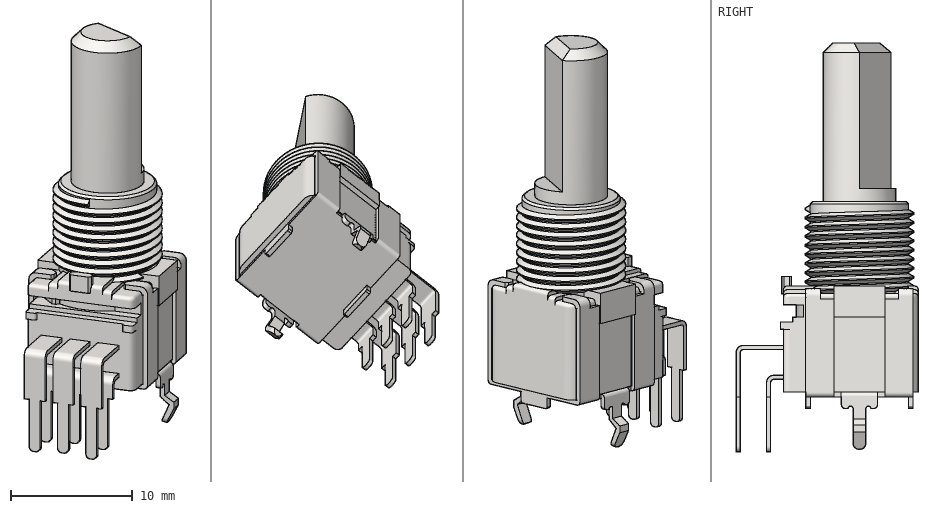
import cadquery as cq
import math


SHAFT_RADIUS = 3.0
SHAFT_TOP = 29.14
SHAFT_CHAMFER = 0.8
FLAT_OFFSET = 1.5
FLAT_BOTTOM = 17.17
FLAT_ANGLE = 60

THREAD_RADIUS = 4.5
THREAD_PITCH = 0.75
CORE_RADIUS = 4.05
BUSHING_TOP = 16.1
BUSHING_CHAMFER = 0.2
THREAD_TURNS = 9
THREAD_END = 15.84
THREAD_ROOT_WIDTH = 0.72
THREAD_CREST_WIDTH = 0.1
THREAD_EMBED = 0.06

SHEET = 0.4
BODY_HALF_WIDTH = 4.75
BODY_FRONT = -6.25
BODY_BACK = 4.85
BACK_CORNER_X = 0.9
BACK_CORNER_Y = 0.45
BACK_CORNER_RADIUS = (BACK_CORNER_X**2 + BACK_CORNER_Y**2) / (2 * BACK_CORNER_Y)
CORNER_RADIUS = 0.5
BODY_LEDGE = 6.18
BODY_TOP = 6.57
LEDGE_FRONT = -5.5
LIP_DEPTH = 0.25
LIP_HEIGHT = 0.6
LIP_WIDTH = 0.96
LIP_FILLET = 0.22
LID_BOTTOM = 7.58
LID_EDGE_FILLET = 0.33
LID_CORNER_TOP = 8.53
LID_LEVEL_STEP = 0.31
LID_LEVEL_HALF_WIDTHS = (2.79, 1.98)
LID_TOP = LID_CORNER_TOP + LID_LEVEL_STEP * len(LID_LEVEL_HALF_WIDTHS)
ROTOR_RADIUS = 5.2
CORE_FRONT = -4.6
CORE_RIB_FRONT = -4.85
CORE_RIB_OUTER_X = 3.0
CORE_RIB_INNER_X = 2.7

LUG_HALF_WIDTH = 0.97
LUG_BACK = -5.57
LUG_FRONT = -6.4
LUG_BOTTOM = 8.5
LUG_TOP = 9.93
LUG_CHAMFER = 0.2

FRAME_HALF_WIDTH = 5.24
FRAME_HALF_DEPTH = 4.42
FRAME_TOP = LID_CORNER_TOP + SHEET
BOTTOM_BEND = 0.35
TOP_BEND = 0.62
WALL_NOTCH_TOP = 8.08
WALL_INNER_Y = 2.08
FLAP_INNER_X = 3.08
FLAP_INNER_Y = 3.19
FLAP_CORNER = 0.2
BUSHING_CLEARANCE_RADIUS = 4.8
PANEL_RECESS = 0.32
PANEL_HALF_WIDTH = FRAME_HALF_WIDTH - PANEL_RECESS
TAB_HALF_WIDTH = 5.35
TONGUE_HALF_WIDTH = 1.5
TONGUE_BOTTOM = -0.95
TONGUE_CHAMFER = 0.15

LEG_HALF_WIDTH = 0.53
LEG_BOTTOM = -4.3
LEG_REACH = 6.05
LEG_OUTER_BEND_START = -1.8
LEG_INNER_BEND_START = -1.95
LEG_KNEE_TOP = -2.3
LEG_KNEE_BOTTOM = -2.87
LEG_INNER_KNEE = (-5.62, -2.58)
LEG_OUTER_TIP_X = -5.33
LEG_INNER_TIP = (-4.95, -4.1)
LEG_TIP_FILLET = 0.5
LEG_RELIEF_RADIUS = 0.2

TERMINAL_PITCH = 2.5
TERMINAL_THICKNESS = 0.35
TERMINAL_BEND = 0.6
TERMINAL_STEM_WIDTH = 0.96
TERMINAL_SHOULDER = 0.0
OUTER_TERMINAL_WIDTH = 1.85
MIDDLE_TERMINAL_WIDTH = 1.75
OUTER_TERMINAL_TIP = -4.5
MIDDLE_TERMINAL_TIP = -4.3
TIP_RADIUS = 0.4
OVERALL_DEPTH = 15.0
FRONT_ROW_Y = BODY_BACK - OVERALL_DEPTH
FRONT_ROW_TOP = 4.26
BACK_ROW_TOP = 1.8
TERMINAL_ROWS = ((FRONT_ROW_Y, FRONT_ROW_TOP), (FRONT_ROW_Y + TERMINAL_PITCH, BACK_ROW_TOP))


def block(x0, x1, y0, y1, z0, z1):
    """Box between the given limits."""
    return cq.Workplane("XY").box(x1 - x0, y1 - y0, z1 - z0, centered=False).translate((x0, y0, z0))


def both_sides(solid):
    """The solid joined with its mirror image across the YZ plane."""
    return solid.union(solid.mirror("YZ"))


def make_shaft():
    base = (
        cq.Workplane("XY", origin=(0, 0, BUSHING_TOP))
        .circle(SHAFT_RADIUS)
        .extrude(FLAT_BOTTOM - BUSHING_TOP)
    )
    flat_half = math.sqrt(SHAFT_RADIUS**2 - FLAT_OFFSET**2)
    d_part = (
        cq.Workplane("XY", origin=(0, 0, FLAT_BOTTOM))
        .moveTo(-FLAT_OFFSET, -flat_half)
        .radiusArc((SHAFT_RADIUS, 0), -SHAFT_RADIUS)
        .radiusArc((-FLAT_OFFSET, flat_half), -SHAFT_RADIUS)
        .close()
        .extrude(SHAFT_TOP - FLAT_BOTTOM)
        .faces(">Z")
        .chamfer(SHAFT_CHAMFER)
    )
    return base.union(d_part).rotate((0, 0, 0), (0, 0, 1), FLAT_ANGLE + 180)


def make_bushing():
    return (
        cq.Workplane("XY", origin=(0, 0, LID_BOTTOM))
        .circle(CORE_RADIUS)
        .extrude(BUSHING_TOP - LID_BOTTOM)
        .faces(">Z")
        .chamfer(BUSHING_CHAMFER)
    )


def make_thread():
    """Helical ridge that ends at the -Y side of the bushing."""
    length = THREAD_TURNS * THREAD_PITCH
    helix = cq.Wire.makeHelix(THREAD_PITCH, length, CORE_RADIUS)
    inner = CORE_RADIUS - THREAD_EMBED
    return (
        cq.Workplane("XZ")
        .polyline([
            (inner, -THREAD_ROOT_WIDTH / 2),
            (THREAD_RADIUS, -THREAD_CREST_WIDTH / 2),
            (THREAD_RADIUS, THREAD_CREST_WIDTH / 2),
            (inner, THREAD_ROOT_WIDTH / 2),
        ])
        .close()
        .sweep(cq.Workplane(helix), isFrenet=True)
        .rotate((0, 0, 0), (0, 0, 1), -90)
        .translate((0, 0, THREAD_END - length - THREAD_ROOT_WIDTH / 2))
    )


def plan_block(bottom, top):
    """Body outline between two heights; the back corners run tangentially into the back face."""
    back_x = BODY_HALF_WIDTH - BACK_CORNER_X
    back_y = BODY_BACK - BACK_CORNER_Y
    return (
        cq.Workplane("XY", origin=(0, 0, bottom))
        .moveTo(-BODY_HALF_WIDTH, BODY_FRONT)
        .lineTo(BODY_HALF_WIDTH, BODY_FRONT)
        .lineTo(BODY_HALF_WIDTH, back_y)
        .radiusArc((back_x, BODY_BACK), -BACK_CORNER_RADIUS)
        .lineTo(-back_x, BODY_BACK)
        .radiusArc((-BODY_HALF_WIDTH, back_y), -BACK_CORNER_RADIUS)
        .close()
        .extrude(top - bottom)
        .edges("|Z and <Y")
        .fillet(CORNER_RADIUS)
    )


def make_body():
    w = BODY_HALF_WIDTH
    rib_outer_y = CORE_RIB_FRONT + w - CORE_RIB_OUTER_X
    rib_inner_x = -CORE_RIB_INNER_X + CORE_FRONT - CORE_RIB_FRONT
    body = plan_block(SHEET, BODY_LEDGE)
    lip = block(
        w - LIP_WIDTH, w, BODY_FRONT - LIP_DEPTH, BODY_FRONT + CORNER_RADIUS,
        BODY_LEDGE - LIP_HEIGHT, BODY_LEDGE,
    ).edges("|Z and <Y").fillet(LIP_FILLET)
    ledge = plan_block(SHEET, BODY_TOP).cut(block(-w, w, BODY_FRONT, LEDGE_FRONT, SHEET, BODY_TOP))
    core = (
        cq.Workplane("XY", origin=(0, 0, SHEET))
        .polyline([
            (w, 0),
            (-w, 0),
            (-w, rib_outer_y),
            (-CORE_RIB_OUTER_X, CORE_RIB_FRONT),
            (-CORE_RIB_INNER_X, CORE_RIB_FRONT),
            (rib_inner_x, CORE_FRONT),
            (w, CORE_FRONT),
        ])
        .close()
        .extrude(LID_BOTTOM - SHEET)
        .union(plan_block(SHEET, LID_BOTTOM).cut(block(-w, w, BODY_FRONT, 0, SHEET, LID_BOTTOM)))
    )
    rotor = (
        cq.Workplane("XY", origin=(0, 0, SHEET))
        .circle(ROTOR_RADIUS)
        .extrude(LID_BOTTOM - SHEET)
        .intersect(plan_block(SHEET, LID_BOTTOM))
    )
    return body.union(both_sides(lip)).union(ledge).union(core).union(rotor)


def make_lid():
    lid = plan_block(LID_BOTTOM, LID_CORNER_TOP).faces(">Z").fillet(LID_EDGE_FILLET)
    top = LID_CORNER_TOP
    for half_width in LID_LEVEL_HALF_WIDTHS:
        top += LID_LEVEL_STEP
        level = plan_block(LID_BOTTOM, top).faces(">Z").fillet(LID_EDGE_FILLET)
        lid = lid.union(level.intersect(
            block(-half_width, half_width, BODY_FRONT, BODY_BACK, LID_BOTTOM, top)
        ))
    lug = (
        block(-LUG_HALF_WIDTH, LUG_HALF_WIDTH, LUG_FRONT, LUG_BACK, LUG_BOTTOM, LUG_TOP)
        .edges("|Z")
        .chamfer(LUG_CHAMFER)
    )
    return lid.union(lug)


def make_corner_wall():
    """Wall at the -X side, +Y half, with its top flap."""
    inner_x = -FRAME_HALF_WIDTH + SHEET
    low_wall = block(
        -FRAME_HALF_WIDTH, inner_x, WALL_INNER_Y, FRAME_HALF_DEPTH, 0, WALL_NOTCH_TOP,
    ).edges("|Y and <X and <Z").fillet(BOTTOM_BEND)
    flap = (
        block(-FRAME_HALF_WIDTH, -FLAP_INNER_X, FLAP_INNER_Y, FRAME_HALF_DEPTH, BODY_TOP, FRAME_TOP)
        .edges("|Y and <X and >Z")
        .fillet(TOP_BEND)
        .edges("|Z and >X and >Y")
        .chamfer(FLAP_CORNER)
    )
    space_below = block(
        inner_x, 0, FLAP_INNER_Y, FRAME_HALF_DEPTH, BODY_TOP, LID_CORNER_TOP - LID_EDGE_FILLET
    )
    clearance = cq.Workplane("XY").circle(BUSHING_CLEARANCE_RADIUS).extrude(FRAME_TOP)
    return low_wall.union(flap.cut(space_below).cut(clearance))


def make_snap_leg():
    """Bent leg at the -X side, with the shoulder that joins it to the frame bottom."""
    outer = -FRAME_HALF_WIDTH
    inner = outer + SHEET
    shoulder = (
        block(outer, inner, -TONGUE_HALF_WIDTH, TONGUE_HALF_WIDTH, TONGUE_BOTTOM, SHEET)
        .edges("|Y and <X and >Z")
        .fillet(BOTTOM_BEND)
        .edges("|X and <Z")
        .fillet(BOTTOM_BEND)
    )
    for side in (-1, 1):
        relief = (
            cq.Workplane("YZ", origin=(outer, 0, 0))
            .center(side * (LEG_HALF_WIDTH + LEG_RELIEF_RADIUS), TONGUE_BOTTOM)
            .circle(LEG_RELIEF_RADIUS)
            .extrude(SHEET)
        )
        shoulder = shoulder.cut(relief)
    strip = (
        cq.Workplane("XZ", origin=(0, LEG_HALF_WIDTH, 0))
        .polyline([
            (outer, 0),
            (inner, 0),
            (inner, LEG_INNER_BEND_START),
            LEG_INNER_KNEE,
            LEG_INNER_TIP,
            (LEG_OUTER_TIP_X, LEG_BOTTOM),
            (-LEG_REACH, LEG_KNEE_BOTTOM),
            (-LEG_REACH, LEG_KNEE_TOP),
            (outer, LEG_OUTER_BEND_START),
        ])
        .close()
        .extrude(2 * LEG_HALF_WIDTH)
    )
    rounded_end = (
        block(-LEG_REACH, 0, -LEG_HALF_WIDTH, LEG_HALF_WIDTH, LEG_BOTTOM, 0)
        .edges("|X and <Z")
        .fillet(LEG_TIP_FILLET)
    )
    return shoulder.union(strip.intersect(rounded_end))


def make_frame():
    inner = FRAME_HALF_WIDTH - SHEET
    frame = block(-inner, inner, -FRAME_HALF_DEPTH, FRAME_HALF_DEPTH, 0, SHEET)
    frame = frame.union(block(
        -PANEL_HALF_WIDTH, PANEL_HALF_WIDTH, -WALL_INNER_Y, WALL_INNER_Y, SHEET, BODY_TOP
    ))
    frame = frame.union(block(
        -TAB_HALF_WIDTH, TAB_HALF_WIDTH, -WALL_INNER_Y, WALL_INNER_Y, BODY_TOP, LID_TOP
    ))
    wall = make_corner_wall()
    frame = frame.union(both_sides(wall.union(wall.mirror("XZ"))))
    tongue = (
        block(
            -TONGUE_HALF_WIDTH, TONGUE_HALF_WIDTH,
            -FRAME_HALF_DEPTH, -FRAME_HALF_DEPTH + SHEET, TONGUE_BOTTOM, SHEET,
        )
        .edges("|Y and <Z")
        .chamfer(TONGUE_CHAMFER)
        .edges("|X and <Y and >Z")
        .fillet(BOTTOM_BEND)
    )
    frame = frame.union(tongue).union(tongue.mirror("XZ"))
    return frame.union(both_sides(make_snap_leg()))


def make_terminal(x, width, tip, front, top):
    """Terminal that leaves the body forward and bends down into a narrower stem."""
    strip = (
        cq.Workplane("YZ", origin=(x - width / 2, 0, 0))
        .moveTo(BODY_FRONT + SHEET, top)
        .lineTo(front + TERMINAL_BEND, top)
        .radiusArc((front, top - TERMINAL_BEND), -TERMINAL_BEND)
        .lineTo(front, tip)
        .lineTo(front + TERMINAL_THICKNESS, tip)
        .lineTo(front + TERMINAL_THICKNESS, top - TERMINAL_BEND)
        .radiusArc(
            (front + TERMINAL_BEND, top - TERMINAL_THICKNESS),
            TERMINAL_BEND - TERMINAL_THICKNESS,
        )
        .lineTo(BODY_FRONT + SHEET, top - TERMINAL_THICKNESS)
        .close()
        .extrude(width)
    )
    half_stem = TERMINAL_STEM_WIDTH / 2
    stem = (
        block(x - half_stem, x + half_stem, front, BODY_FRONT + SHEET, tip, top)
        .edges("|Y and <Z")
        .fillet(TIP_RADIUS)
    )
    blade = block(x - width / 2, x + width / 2, front, BODY_FRONT + SHEET, TERMINAL_SHOULDER, top)
    return strip.intersect(stem.union(blade))


def make_terminals():
    terminals = []
    for front, top in TERMINAL_ROWS:
        for position in (-1, 0, 1):
            width = OUTER_TERMINAL_WIDTH if position else MIDDLE_TERMINAL_WIDTH
            tip = OUTER_TERMINAL_TIP if position else MIDDLE_TERMINAL_TIP
            terminals.append(make_terminal(position * TERMINAL_PITCH, width, tip, front, top))
    return terminals


result = make_body().union(make_lid()).union(make_frame())
for terminal in make_terminals():
    result = result.union(terminal)
result = result.union(make_bushing()).union(make_shaft())
result = result.union(make_thread())